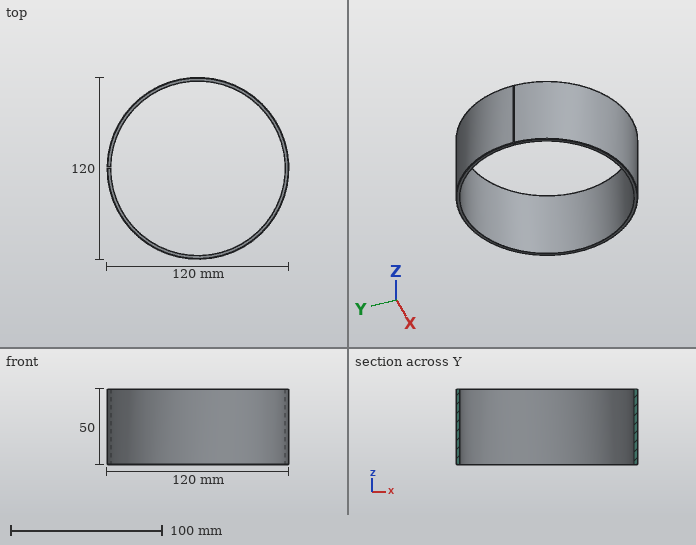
import cadquery as cq

outer_diameter = 120.0
wall_thickness = 2.5
height = 50.0
outer_chamfer = 0.5
inner_chamfer = 0.2
slit_angle = 0.9

outer_radius = outer_diameter / 2
inner_radius = outer_radius - wall_thickness
half_height = height / 2


def make_split_sleeve():
    """Revolve the chamfered wall section from the -X axis, stopping short to leave the slit."""
    section = (
        cq.Workplane("XZ")
        .moveTo(-inner_radius, -half_height + inner_chamfer)
        .lineTo(-inner_radius - inner_chamfer, -half_height)
        .lineTo(-outer_radius + outer_chamfer, -half_height)
        .lineTo(-outer_radius, -half_height + outer_chamfer)
        .lineTo(-outer_radius, half_height - outer_chamfer)
        .lineTo(-outer_radius + outer_chamfer, half_height)
        .lineTo(-inner_radius - inner_chamfer, half_height)
        .lineTo(-inner_radius, half_height - inner_chamfer)
        .close()
    )
    axis_start = (0, 0, 0)
    axis_end = (0, 1, 0)
    return section.revolve(360 - slit_angle, axis_start, axis_end)


result = make_split_sleeve()